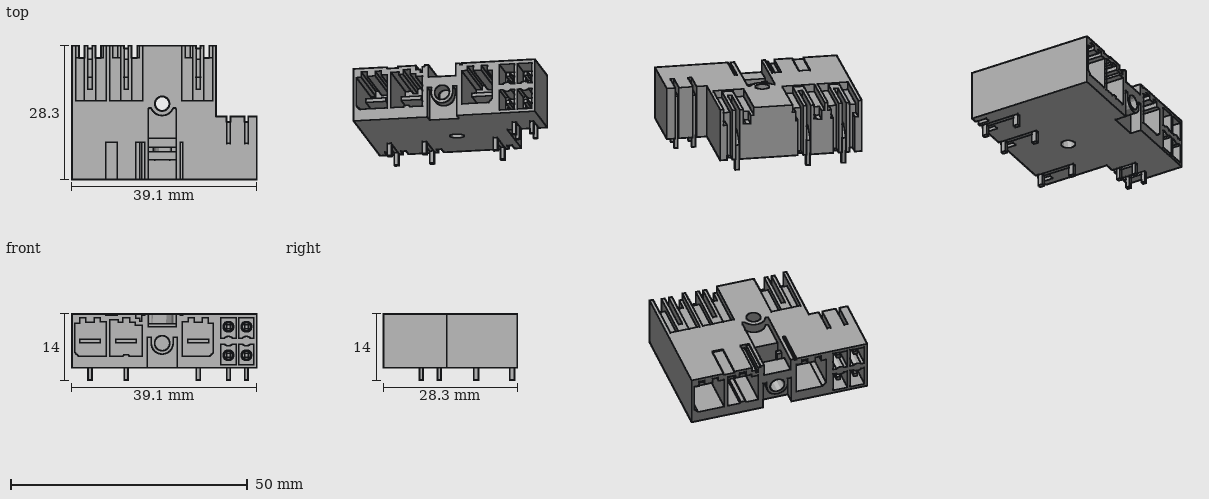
import cadquery as cq
import math

WIDTH = 39.07
DEPTH = 28.3
HEIGHT = 11.4
TAIL_LENGTH = 2.58
SIGNAL_BLOCK_X = 30.47
SIGNAL_BLOCK_DEPTH = 13.32

POLE_PITCH = 7.6
POLE_1_X = 3.83
POLE_2_X = POLE_1_X + POLE_PITCH
POLE_3_X = POLE_1_X + 3 * POLE_PITCH
SIGNAL_1_X = 33.05
SIGNAL_PITCH = 3.8
SIGNAL_XS = (SIGNAL_1_X, SIGNAL_1_X + SIGNAL_PITCH)

POCKET_DEPTH = 15.63
POCKET_FLOOR = 2.45
POCKET_ROOF = 9.6
POCKET_CHAMFER = 0.82
POCKET_OUTER = 3.2
POCKET_INNER = 3.4
OUTER_SHOULDER = 9.45
INNER_SHOULDER = 9.73
KEYWAY_TOP = 10.63
KEYWAY_NEAR = 0.85
KEYWAY_FAR = 2.15
MIDDLE_POCKET_HALF = 3.4
MIDDLE_CORNER_TOP = 10.2
MIDDLE_CORNER_WIDTH = 1.7
MIDDLE_KEYWAY_HALF = 0.75
MIDDLE_STEP_X = 1.95
MIDDLE_STEP_ROOF = 9.03
RIDGE_BASE_HALF = 0.7
RIDGE_TOP_HALF = 0.45
RIDGE_HEIGHT = 0.3

BLADE_WIDTH = 4.35
BLADE_THICKNESS = 0.8
BLADE_TOP = 6.1
BLADE_TIP_Y = 5.0
BLADE_REAR_Y = 21.55
PLATE_THICKNESS = 0.85
PLATE_REAR_Y = 27.7
SLOPE_START_Y = 25.45
SLOPE_DROP = 2.3
TAIL_DEPTH = 1.05
FRONT_TAIL_Y = 19.05

PIN_SIZE = 0.8
PIN_TIP_Y = 1.17
UPPER_PIN_Z = 8.7
LOWER_PIN_Z = 2.7
UPPER_PIN_REAR_Y = 12.2
LOWER_PIN_REAR_Y = 8.4
SIGNAL_POCKET_WIDTH = 3.2
SIGNAL_POCKET_DEPTH = 6.45
UPPER_POCKET = (6.33, 10.63)
LOWER_POCKET = (0.7, 5.05)
HUMP_HEIGHT = 0.35
HUMP_HALF_WIDTH = 0.85
PIN_BOSS_BASE_RADIUS = 1.1
PIN_BOSS_TIP_RADIUS = 0.85
PIN_BOSS_LENGTH = 0.8
PIN_SLOT_FRONT_Y = LOWER_PIN_REAR_Y - PIN_SIZE

TRENCH_FRONT_Y = 16.6
TRENCH_FLOOR = 9.73
TRENCH_OUTER = 3.05
TRENCH_INNER = 3.48
BLOCK_HALF = 1.17
BLOCK_TOP = 11.1
BLOCK_SLOT_FRONT_Y = FRONT_TAIL_Y
NOTCH_FRONT_Y = 25.7
NOTCH_HALF = 2.77
NOTCH_LEDGE = 7.8
OPENING_HALF = 2.3
RAMP_END_X = 1.7
RAMP_RISE = 0.1

SCREW_X = 19.05
CHANNEL_WIDTH = 5.85
CHANNEL_FRONT_FLOOR = 8.75
CHANNEL_REAR_FLOOR = 9.35
HORN_RADIUS = 0.35
SCREW_HOLE_Y = 16.0
SCREW_HOLE_DIAMETER = 3.0
SCREW_BOSS_RADIUS = 2.5
NUT_PIT_FRONT_Y = 4.15
NUT_PIT_REAR_Y = 8.7
NUT_PIT_FLOOR = 2.93
RIB_FRONT_Y = 5.85
RIB_REAR_Y = 6.85
RIB_NOTCH_RADIUS = 1.88

BORE_Z = 5.25
BORE_DIAMETER = 3.15
BORE_BOSS_RADIUS = 2.3
RECESS_WIDTH = 6.3
RECESS_TOP = 6.5
RECESS_DEPTH = 2.5

GROOVE_LENGTH = 7.9
GROOVE_DEPTH = 0.3
WIDE_GROOVE = (7.2, 9.57)
NARROW_GROOVE = (22.9, 23.35)
STEPPED_GROOVE_EDGES = (13.45, 14.35, 14.75, 15.35)
STEPPED_GROOVE_DEPTHS = (0.9, 1.52, GROOVE_DEPTH)


def box(x_min, x_max, y_min, y_max, z_min, z_max):
    size = (x_max - x_min, y_max - y_min, z_max - z_min)
    return cq.Workplane(cq.Solid.makeBox(*size, cq.Vector(x_min, y_min, z_min)))


def cylinder(radius, length, start, direction):
    return cq.Workplane(cq.Solid.makeCylinder(radius, length, cq.Vector(*start), cq.Vector(*direction)))


def front_plane(x, y=0.0):
    """Sketch plane facing the front: local y is Z, and a negative extrusion goes to the rear."""
    return cq.Workplane("XZ", origin=(x, y, 0))


def outer_block():
    signal_block = box(0, WIDTH, 0, SIGNAL_BLOCK_DEPTH, 0, HEIGHT)
    return signal_block.union(box(0, SIGNAL_BLOCK_X, 0, DEPTH, 0, HEIGHT))


def end_power_pocket(pole_x, side):
    """Pocket with two keyways; its chamfered side is to the left for side = 1, to the right for side = -1."""
    outline = [
        (-POCKET_OUTER + POCKET_CHAMFER, POCKET_FLOOR),
        (POCKET_INNER, POCKET_FLOOR),
        (POCKET_INNER, INNER_SHOULDER),
        (KEYWAY_FAR, INNER_SHOULDER),
        (KEYWAY_FAR, KEYWAY_TOP),
        (KEYWAY_NEAR, KEYWAY_TOP),
        (KEYWAY_NEAR, POCKET_ROOF),
        (-KEYWAY_NEAR, POCKET_ROOF),
        (-KEYWAY_NEAR, KEYWAY_TOP),
        (-KEYWAY_FAR, KEYWAY_TOP),
        (-KEYWAY_FAR, OUTER_SHOULDER),
        (-POCKET_OUTER, OUTER_SHOULDER),
        (-POCKET_OUTER, POCKET_FLOOR + POCKET_CHAMFER),
    ]
    points = [(side * x, z) for x, z in outline]
    return front_plane(pole_x).polyline(points).close().extrude(-POCKET_DEPTH)


def middle_power_pocket():
    outline = [
        (-MIDDLE_POCKET_HALF, POCKET_FLOOR),
        (-RIDGE_BASE_HALF, POCKET_FLOOR),
        (-RIDGE_TOP_HALF, POCKET_FLOOR + RIDGE_HEIGHT),
        (RIDGE_TOP_HALF, POCKET_FLOOR + RIDGE_HEIGHT),
        (RIDGE_BASE_HALF, POCKET_FLOOR),
        (MIDDLE_POCKET_HALF, POCKET_FLOOR),
        (MIDDLE_POCKET_HALF, MIDDLE_STEP_ROOF),
        (MIDDLE_STEP_X, MIDDLE_STEP_ROOF),
        (MIDDLE_STEP_X, POCKET_ROOF),
        (MIDDLE_KEYWAY_HALF, POCKET_ROOF),
        (MIDDLE_KEYWAY_HALF, KEYWAY_TOP),
        (-MIDDLE_KEYWAY_HALF, KEYWAY_TOP),
        (-MIDDLE_KEYWAY_HALF, POCKET_ROOF),
        (-MIDDLE_POCKET_HALF + MIDDLE_CORNER_WIDTH, POCKET_ROOF),
        (-MIDDLE_POCKET_HALF + MIDDLE_CORNER_WIDTH, MIDDLE_CORNER_TOP),
        (-MIDDLE_POCKET_HALF, MIDDLE_CORNER_TOP),
    ]
    return front_plane(POLE_2_X).polyline(outline).close().extrude(-POCKET_DEPTH)


def signal_pocket(x, plain_z, humped_z):
    """Pocket whose side at humped_z carries a rounded hump along its length."""
    half = SIGNAL_POCKET_WIDTH / 2
    hump_top = humped_z + math.copysign(HUMP_HEIGHT, plain_z - humped_z)
    return (
        front_plane(x)
        .moveTo(-half, plain_z)
        .lineTo(-half, humped_z)
        .lineTo(-HUMP_HALF_WIDTH, humped_z)
        .threePointArc((0, hump_top), (HUMP_HALF_WIDTH, humped_z))
        .lineTo(half, humped_z)
        .lineTo(half, plain_z)
        .close()
        .extrude(-SIGNAL_POCKET_DEPTH)
    )


def pin_boss(x, z):
    """Cone on the rear wall of a signal pocket, around the pin."""
    return cq.Workplane(
        cq.Solid.makeCone(
            PIN_BOSS_BASE_RADIUS,
            PIN_BOSS_TIP_RADIUS,
            PIN_BOSS_LENGTH,
            cq.Vector(x, SIGNAL_POCKET_DEPTH, z),
            cq.Vector(0, -1, 0),
        )
    )


def pin_slot(x):
    half = PIN_SIZE / 2
    return box(x - half, x + half, PIN_SLOT_FRONT_Y, SIGNAL_BLOCK_DEPTH, 0, HEIGHT)


def rear_trench(pole_x, left, right):
    """Trench from the top, leaving a slotted block of slightly lower height along the pole."""
    trench = box(pole_x - left, pole_x + right, TRENCH_FRONT_Y, DEPTH, TRENCH_FLOOR, HEIGHT)
    block = box(pole_x - BLOCK_HALF, pole_x + BLOCK_HALF, TRENCH_FRONT_Y, DEPTH, TRENCH_FLOOR, BLOCK_TOP)
    half = PLATE_THICKNESS / 2
    slot = box(pole_x - half, pole_x + half, BLOCK_SLOT_FRONT_Y, DEPTH, 0, HEIGHT)
    return trench.cut(block).union(slot)


def open_rear_notch(pole_x, side, ledge_edge):
    """Notch beside the block, open to the underside except for a ledge; side = -1 is left of the block."""
    outline = [
        (BLOCK_HALF, 0),
        (OPENING_HALF, 0),
        (OPENING_HALF, NOTCH_LEDGE),
        (ledge_edge, NOTCH_LEDGE),
        (ledge_edge, TRENCH_FLOOR),
        (BLOCK_HALF, TRENCH_FLOOR),
    ]
    points = [(side * x, z) for x, z in outline]
    return front_plane(pole_x, NOTCH_FRONT_Y).polyline(points).close().extrude(NOTCH_FRONT_Y - DEPTH)


def ramped_rear_notch(pole_x):
    """Closed notch left of the block, whose floor curves up from the ledge towards the block."""
    ramp_run = OPENING_HALF - RAMP_END_X
    ramp_radius = (ramp_run**2 + RAMP_RISE**2) / (2 * RAMP_RISE)
    half_angle = math.atan(RAMP_RISE / ramp_run)
    ramp_middle = (
        -OPENING_HALF + ramp_radius * math.sin(half_angle),
        NOTCH_LEDGE + ramp_radius * (1 - math.cos(half_angle)),
    )
    ramp_top = NOTCH_LEDGE + RAMP_RISE
    return (
        front_plane(pole_x, NOTCH_FRONT_Y)
        .moveTo(-NOTCH_HALF, NOTCH_LEDGE)
        .lineTo(-OPENING_HALF, NOTCH_LEDGE)
        .threePointArc(ramp_middle, (-RAMP_END_X, ramp_top))
        .lineTo(-BLOCK_HALF, ramp_top)
        .lineTo(-BLOCK_HALF, TRENCH_FLOOR)
        .lineTo(-NOTCH_HALF, TRENCH_FLOOR)
        .close()
        .extrude(NOTCH_FRONT_Y - DEPTH)
    )


def screw_channel():
    """Channel open to the top and front, whose rear end runs round the screw boss between two horns."""
    half = CHANNEL_WIDTH / 2
    front = box(SCREW_X - half, SCREW_X + half, 0, NUT_PIT_REAR_Y, CHANNEL_FRONT_FLOOR, HEIGHT)
    horn_x = half - HORN_RADIUS
    centre_distance = SCREW_BOSS_RADIUS + HORN_RADIUS
    horn_y = SCREW_HOLE_Y - math.sqrt(centre_distance**2 - horn_x**2)
    touch_x = horn_x * SCREW_BOSS_RADIUS / centre_distance
    touch_y = SCREW_HOLE_Y + (horn_y - SCREW_HOLE_Y) * SCREW_BOSS_RADIUS / centre_distance
    horn_tip_y = horn_y + HORN_RADIUS
    rear = (
        cq.Workplane("XY", origin=(SCREW_X, 0, CHANNEL_REAR_FLOOR))
        .moveTo(-half, NUT_PIT_REAR_Y)
        .lineTo(-half, horn_y)
        .threePointArc((-horn_x, horn_tip_y), (-touch_x, touch_y))
        .threePointArc((0, SCREW_HOLE_Y - SCREW_BOSS_RADIUS), (touch_x, touch_y))
        .threePointArc((horn_x, horn_tip_y), (half, horn_y))
        .lineTo(half, NUT_PIT_REAR_Y)
        .close()
        .extrude(HEIGHT - CHANNEL_REAR_FLOOR)
    )
    return front.union(rear)


def nut_pit():
    """Pit below the channel, crossed by a rib with a round-bottomed notch."""
    half = CHANNEL_WIDTH / 2
    pit = box(SCREW_X - half, SCREW_X + half, NUT_PIT_FRONT_Y, NUT_PIT_REAR_Y, NUT_PIT_FLOOR, HEIGHT)
    rib = box(SCREW_X - half, SCREW_X + half, RIB_FRONT_Y, RIB_REAR_Y, NUT_PIT_FLOOR, CHANNEL_FRONT_FLOOR)
    notch = cylinder(RIB_NOTCH_RADIUS, RIB_REAR_Y - RIB_FRONT_Y, (SCREW_X, RIB_FRONT_Y, BORE_Z), (0, 1, 0))
    notch_top = box(
        SCREW_X - RIB_NOTCH_RADIUS,
        SCREW_X + RIB_NOTCH_RADIUS,
        RIB_FRONT_Y,
        RIB_REAR_Y,
        BORE_Z,
        CHANNEL_FRONT_FLOOR,
    )
    return pit.cut(rib).union(notch).union(notch_top)


def front_recess():
    """Recess open to the underside, around the boss that carries the flange bore."""
    half = RECESS_WIDTH / 2
    recess = box(SCREW_X - half, SCREW_X + half, 0, RECESS_DEPTH, 0, RECESS_TOP)
    boss = cylinder(BORE_BOSS_RADIUS, RECESS_DEPTH, (SCREW_X, 0, BORE_Z), (0, 1, 0))
    neck = box(SCREW_X - BORE_BOSS_RADIUS, SCREW_X + BORE_BOSS_RADIUS, 0, RECESS_DEPTH, BORE_Z, RECESS_TOP)
    return recess.cut(boss).cut(neck)


def flange_bore():
    return cylinder(BORE_DIAMETER / 2, NUT_PIT_FRONT_Y, (SCREW_X, 0, BORE_Z), (0, 1, 0))


def screw_hole():
    return cylinder(SCREW_HOLE_DIAMETER / 2, HEIGHT, (SCREW_X, SCREW_HOLE_Y, 0), (0, 0, 1))


def groove(left, right, depth):
    return box(left, right, 0, GROOVE_LENGTH, HEIGHT - depth, HEIGHT)


def make_housing():
    housing = outer_block()
    housing = housing.cut(end_power_pocket(POLE_1_X, 1))
    housing = housing.cut(middle_power_pocket())
    housing = housing.cut(end_power_pocket(POLE_3_X, -1))

    for x in SIGNAL_XS:
        housing = housing.cut(signal_pocket(x, UPPER_POCKET[1], UPPER_POCKET[0]))
        housing = housing.cut(signal_pocket(x, LOWER_POCKET[0], LOWER_POCKET[1]))
        for z in (UPPER_PIN_Z, LOWER_PIN_Z):
            housing = housing.union(pin_boss(x, z))
        housing = housing.cut(pin_slot(x))

    housing = housing.cut(rear_trench(POLE_1_X, TRENCH_OUTER, TRENCH_INNER))
    housing = housing.cut(rear_trench(POLE_2_X, TRENCH_INNER, TRENCH_INNER))
    housing = housing.cut(rear_trench(POLE_3_X, TRENCH_INNER, TRENCH_OUTER))
    housing = housing.cut(open_rear_notch(POLE_1_X, -1, TRENCH_OUTER))
    housing = housing.cut(open_rear_notch(POLE_1_X, 1, NOTCH_HALF))
    housing = housing.cut(open_rear_notch(POLE_2_X, 1, NOTCH_HALF))
    housing = housing.cut(open_rear_notch(POLE_3_X, 1, TRENCH_OUTER))
    for pole_x in (POLE_2_X, POLE_3_X):
        housing = housing.cut(ramped_rear_notch(pole_x))

    housing = housing.cut(front_recess())
    for feature in (screw_channel(), nut_pit(), flange_bore(), screw_hole()):
        housing = housing.cut(feature)

    housing = housing.cut(groove(*WIDE_GROOVE, GROOVE_DEPTH))
    housing = housing.cut(groove(*NARROW_GROOVE, GROOVE_DEPTH))
    steps = zip(STEPPED_GROOVE_EDGES, STEPPED_GROOVE_EDGES[1:], STEPPED_GROOVE_DEPTHS)
    for left, right, depth in steps:
        housing = housing.cut(groove(left, right, depth))
    return housing


def make_power_contact(pole_x):
    blade_bottom = BLADE_TOP - BLADE_THICKNESS
    slope_end_z = blade_bottom - SLOPE_DROP
    half = BLADE_WIDTH / 2
    blade = box(pole_x - half, pole_x + half, BLADE_TIP_Y, BLADE_REAR_Y, blade_bottom, BLADE_TOP)
    outline = [
        (FRONT_TAIL_Y, -TAIL_LENGTH),
        (FRONT_TAIL_Y + TAIL_DEPTH, -TAIL_LENGTH),
        (FRONT_TAIL_Y + TAIL_DEPTH, 0),
        (PLATE_REAR_Y - TAIL_DEPTH, 0),
        (PLATE_REAR_Y - TAIL_DEPTH, -TAIL_LENGTH),
        (PLATE_REAR_Y, -TAIL_LENGTH),
        (PLATE_REAR_Y, slope_end_z),
        (SLOPE_START_Y, blade_bottom),
        (FRONT_TAIL_Y, blade_bottom),
    ]
    plate_plane = cq.Workplane("YZ", origin=(pole_x - PLATE_THICKNESS / 2, 0, 0))
    return blade.union(plate_plane.polyline(outline).close().extrude(PLATE_THICKNESS))


def make_signal_pin(x, z, rear_y):
    half = PIN_SIZE / 2
    lead = box(x - half, x + half, PIN_TIP_Y, rear_y, z - half, z + half)
    return lead.union(box(x - half, x + half, rear_y - PIN_SIZE, rear_y, -TAIL_LENGTH, z + half))


power_contacts = [make_power_contact(x) for x in (POLE_1_X, POLE_2_X, POLE_3_X)]
signal_pins = []
for pin_x in SIGNAL_XS:
    signal_pins.append(make_signal_pin(pin_x, UPPER_PIN_Z, UPPER_PIN_REAR_Y))
    signal_pins.append(make_signal_pin(pin_x, LOWER_PIN_Z, LOWER_PIN_REAR_Y))

housing = make_housing()
for insert in power_contacts + signal_pins:
    housing = housing.cut(insert)

result = cq.Compound.makeCompound(
    [
        housing.solids().val(),
        *[contact.solids().val() for contact in power_contacts],
        *[pin.solids().val() for pin in signal_pins],
    ]
)